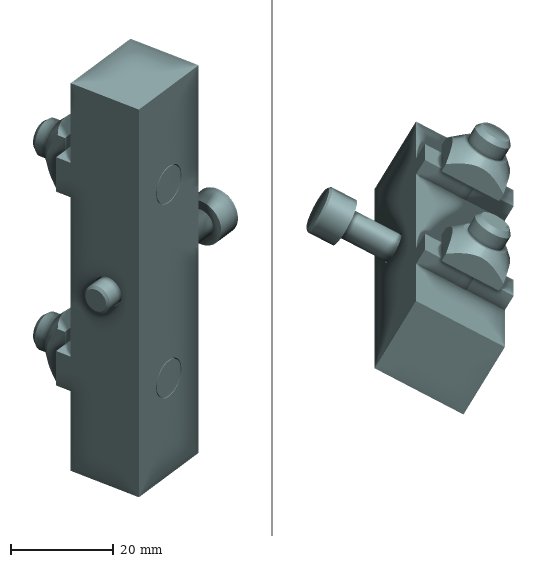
import cadquery as cq

bar_length = 90.0
bar_width = 20.0
total_depth = 20.0
tongue_depth = 3.5
tongue_height = 8.0
clamp_spacing = 45.0
clamp_heights = (-clamp_spacing / 2, clamp_spacing / 2)

bolt_diameter = 8.0
bolt_hole_diameter = 8.5
bolt_projection = 10.5
bolt_tip_length = 1.1
bolt_tip_diameter = 6.3

nut_side = 13.0
nut_thickness = 6.0
nut_gap = 0.45
nut_face_diameter = 9.7

screw_diameter = 6.0
screw_hole_diameter = 6.6
screw_head_diameter = 10.0
screw_head_length = 6.0
screw_neck_length = 11.0
screw_projection = 4.05
screw_tip_chamfer = 0.5
screw_head_chamfer = 0.45
screw_from_back = 7.5
screw_x = total_depth - screw_from_back


def cylinder_x(diameter, start_x, length, z=0.0):
    """Cylinder along +X from start_x, centred on Y = 0."""
    return cq.Workplane("YZ", origin=(start_x, 0, z)).circle(diameter / 2).extrude(length)


def cylinder_y(diameter, start_y, length):
    """Cylinder along +Y from start_y on the cross screw axis."""
    plane = cq.Plane(origin=(screw_x, start_y, 0), xDir=(1, 0, 0), normal=(0, 1, 0))
    return cq.Workplane(plane).circle(diameter / 2).extrude(length)


def make_bar():
    body_depth = total_depth - tongue_depth
    bar = cq.Workplane("XY").box(body_depth, bar_width, bar_length, centered=(False, True, True))
    bar = bar.translate((tongue_depth, 0, 0))
    for z in clamp_heights:
        tongue = cq.Workplane("XY").box(
            tongue_depth, bar_width, tongue_height, centered=(False, True, True)
        )
        bar = bar.union(tongue.translate((0, 0, z)))
    for z in clamp_heights:
        bar = bar.cut(cylinder_x(bolt_hole_diameter, 0, total_depth, z))
    return bar.cut(cylinder_y(screw_hole_diameter, -bar_width / 2, bar_width))


def make_bolt(z):
    """Bolt flush with the back of the bar, with a tapered tip beyond the nut."""
    tip_radius = bolt_tip_diameter / 2
    radius = bolt_diameter / 2
    profile = [
        (-bolt_projection, 0),
        (-bolt_projection, tip_radius),
        (-bolt_projection + bolt_tip_length, radius),
        (total_depth, radius),
        (total_depth, 0),
    ]
    bolt = cq.Workplane("XZ").polyline(profile).close().revolve(360, (0, 0, 0), (1, 0, 0))
    return bolt.translate((0, 0, z))


def make_nut(z):
    """Square nut trimmed by a 45 degree cone that narrows towards the bolt tip."""
    back_x = -nut_gap
    front_x = back_x - nut_thickness
    face_radius = nut_face_diameter / 2
    nut = cq.Workplane("XY").box(nut_thickness, nut_side, nut_side)
    nut = nut.translate((front_x + nut_thickness / 2, 0, 0))
    cone_profile = [
        (front_x, 0),
        (front_x, face_radius),
        (back_x, face_radius + nut_thickness),
        (back_x, 0),
    ]
    cone = cq.Workplane("XZ").polyline(cone_profile).close().revolve(360, (0, 0, 0), (1, 0, 0))
    nut = nut.intersect(cone)
    return nut.cut(cylinder_x(bolt_diameter, front_x, nut_thickness)).translate((0, 0, z))


def make_cross_screw():
    tip_y = -bar_width / 2 - screw_projection
    head_y = bar_width / 2 + screw_neck_length
    shank = cylinder_y(screw_diameter, tip_y, head_y - tip_y)
    shank = shank.faces("<Y").chamfer(screw_tip_chamfer)
    head = cylinder_y(screw_head_diameter, head_y, screw_head_length)
    head = head.faces(">Y").chamfer(screw_head_chamfer)
    return shank.union(head)


bar = make_bar()
cross_screw = make_cross_screw()
bolts = [make_bolt(z).val() for z in clamp_heights]
nuts = [make_nut(z).val() for z in clamp_heights]

result = cq.Compound.makeCompound([bar.val(), cross_screw.val(), *bolts, *nuts])